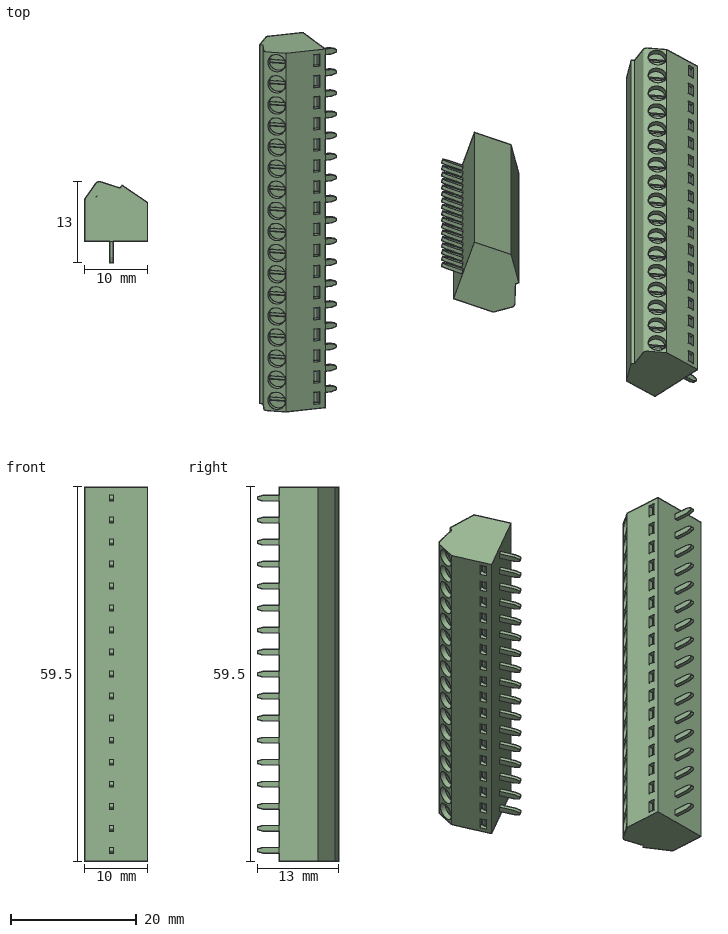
import cadquery as cq
import math

length = 59.5
pole_count = 17
pitch = length / pole_count
width = 10.0
side_high_y = 6.2
slope_low_y = 6.7
slope_tilt = math.radians(35)
peak_y = 9.5
peak_radius = 0.7
back_tilt = math.radians(18)
step_low_x = 5.6
step_high_x = 5.95
step_high_y = 8.9

screw_hole_diameter = 2.85
screw_head_depth = 0.95
screw_slot_width = 0.55
screw_slot_depth = 0.35

window_low_y = 0.9
window_width = 1.1
window_height = 1.95
window_depth = 0.9
lug_gap = 0.1
lug_flat_width = 0.35
lug_flat_depth = 0.4
lug_slope_drop = 0.3

pin_length = 3.45
pin_x = 4.3
pin_thickness = 0.6
pin_width = 0.95
pin_taper_length = 0.6
pin_round_radius = 0.3
pin_root = 0.6

peak_center_y = peak_y - peak_radius
slope_high_y = peak_center_y + peak_radius * math.sin(slope_tilt)
slope_high_x = (slope_high_y - slope_low_y) * math.tan(slope_tilt)
peak_center_x = slope_high_x + peak_radius * math.cos(slope_tilt)
back_high_x = peak_center_x + peak_radius * math.sin(back_tilt)
back_high_y = peak_center_y + peak_radius * math.cos(back_tilt)
step_low_y = back_high_y - (step_low_x - back_high_x) * math.tan(back_tilt)


def make_housing():
    return (
        cq.Workplane("XY")
        .moveTo(0, 0)
        .lineTo(width, 0)
        .lineTo(width, side_high_y)
        .lineTo(step_high_x, step_high_y)
        .lineTo(step_low_x, step_low_y)
        .lineTo(back_high_x, back_high_y)
        .threePointArc((peak_center_x, peak_y), (slope_high_x, slope_high_y))
        .lineTo(0, slope_low_y)
        .close()
        .extrude(length)
    )


def make_screw_opening(z):
    along_slope = (math.sin(slope_tilt), math.cos(slope_tilt), 0)
    outward = (-math.cos(slope_tilt), math.sin(slope_tilt), 0)
    center = (slope_high_x / 2, (slope_low_y + slope_high_y) / 2, z)
    mouth = cq.Workplane(cq.Plane(origin=center, xDir=along_slope, normal=outward))
    hole_depth = screw_head_depth + screw_slot_depth
    hole = mouth.circle(screw_hole_diameter / 2).extrude(-hole_depth)

    block_size = 2 * screw_hole_diameter
    head_top = mouth.workplane(offset=-screw_head_depth)
    head = head_top.rect(block_size, block_size).extrude(-2 * screw_slot_depth)
    slot = head_top.rect(2 * block_size, screw_slot_width).extrude(-2 * screw_slot_depth)
    return hole.cut(head.cut(slot))


def make_window(z):
    corner = cq.Workplane("XY", origin=(0, window_low_y, z))
    pocket = corner.box(window_depth, window_width, window_height, centered=(False, False, True))

    lug_flat_y = window_low_y + lug_flat_width
    lug_high_y = window_low_y + window_width - lug_gap
    lug_height = window_height - 2 * lug_gap
    lug_outline = [
        (window_depth, window_low_y),
        (lug_flat_depth, window_low_y),
        (lug_flat_depth, lug_flat_y),
        (lug_flat_depth + lug_slope_drop, lug_high_y),
        (window_depth, lug_high_y),
    ]
    lug_base = cq.Workplane("XY", origin=(0, 0, z - lug_height / 2))
    lug = lug_base.polyline(lug_outline).close().extrude(lug_height)
    return pocket.cut(lug)


def make_pin(z):
    plane = cq.Plane(origin=(pin_x - pin_thickness / 2, 0, z), xDir=(0, 1, 0), normal=(1, 0, 0))
    half_width = pin_width / 2
    round_y = pin_round_radius - pin_length
    shoulder_y = round_y + pin_taper_length
    return (
        cq.Workplane(plane)
        .moveTo(pin_root, -half_width)
        .lineTo(shoulder_y, -half_width)
        .lineTo(round_y, -pin_round_radius)
        .threePointArc((-pin_length, 0), (round_y, pin_round_radius))
        .lineTo(shoulder_y, half_width)
        .lineTo(pin_root, half_width)
        .close()
        .extrude(pin_thickness)
    )


result = make_housing()
for pole in range(pole_count):
    pole_z = (pole + 0.5) * pitch
    result = result.cut(make_screw_opening(pole_z))
    result = result.cut(make_window(pole_z))
    result = result.union(make_pin(pole_z))